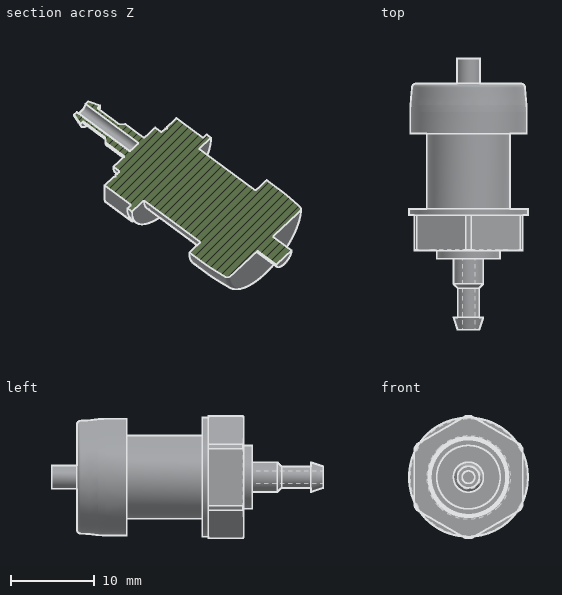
import cadquery as cq
import math


sleeve_dia = 10.0
sleeve_length = 9.0
cap_dia = 14.0
cap_shoulder_length = 3.0
cap_taper_angle = 5.0
cap_blend_radius = 10.0
cap_length = 6.0
cap_edge_radius = 0.5
pin_dia = 2.8
pin_length = 3.0

washer_dia = 14.3
washer_thickness = 0.75
nut_height = 5.0
nut_sides = 6
nut_across_flats = 13.0
nut_corner_dia = 14.665
nut_chamfer_dia = 14.26
nut_chamfer_angle = 30.0
ring_groove_dia = 9.3
ring_groove_depth = 0.15

boss_dia = 7.6
boss_height = 1.0
stem_length = 14.5
shank_dia = 3.6
shank_end = 9.0
neck_dia = 2.6
barb_dia = 3.6
barb_length = 1.5
barb_tip_dia = 2.6
bore_dia = 1.5

cap_start = sleeve_length
cap_shoulder = cap_start + cap_shoulder_length
cap_end = cap_start + cap_length
taper = math.radians(cap_taper_angle)
cap_end_radius = cap_dia / 2 - (cap_end - cap_shoulder) * math.tan(taper)
blend_reach = cap_blend_radius * math.tan(taper / 2)
pin_end = cap_end + pin_length
boss_end = nut_height + boss_height
neck_start = shank_end + (shank_dia - neck_dia) / 2
barb_start = stem_length - barb_length
bore_depth = stem_length - boss_end


def revolve_about_y(half_profile):
    """Turn a closed (radius, y) polyline about the Y axis."""
    return cq.Workplane("XY").polyline(half_profile).close().revolve(360, (0, 0, 0), (0, 1, 0))


def cylinder_along_y(diameter, y_start, y_end):
    """Round bar on the Y axis between two Y positions."""
    start_plane = cq.Workplane("XZ", origin=(0, y_start, 0))
    return start_plane.circle(diameter / 2).extrude(y_start - y_end)


def make_sleeve_and_cap():
    """Sleeve, a cap whose straight side blends into a taper, and the end pin."""
    sleeve = cylinder_along_y(sleeve_dia, 0, cap_start)
    blend_end = (
        cap_dia / 2 - blend_reach * math.sin(taper),
        cap_shoulder + blend_reach * math.cos(taper),
    )
    cap = (
        cq.Workplane("XY")
        .moveTo(0, cap_start)
        .lineTo(cap_dia / 2, cap_start)
        .lineTo(cap_dia / 2, cap_shoulder - blend_reach)
        .tangentArcPoint(blend_end, relative=False)
        .lineTo(cap_end_radius, cap_end)
        .lineTo(0, cap_end)
        .close()
        .revolve(360, (0, 0, 0), (0, 1, 0))
    )
    cap = cap.faces(">Y").edges().fillet(cap_edge_radius)
    pin = cylinder_along_y(pin_dia, cap_end, pin_end)
    return sleeve.union(cap).union(pin)


def make_nut():
    """Hexagon with turned corners, end-chamfered corners and a washer at its base."""
    half_side_angle = 180 / nut_sides
    corner_span = nut_across_flats / math.cos(math.radians(half_side_angle))
    hexagon = (
        cq.Workplane("XZ")
        .polygon(nut_sides, corner_span)
        .extrude(nut_height)
        .rotate((0, 0, 0), (0, 1, 0), half_side_angle)
    )
    chamfer_height = (nut_corner_dia - nut_chamfer_dia) / 2 * math.tan(math.radians(nut_chamfer_angle))
    corner_envelope = revolve_about_y([
        (0, -washer_thickness),
        (nut_corner_dia / 2, -washer_thickness),
        (nut_corner_dia / 2, chamfer_height - nut_height),
        (nut_chamfer_dia / 2, -nut_height),
        (0, -nut_height),
    ])
    washer = cylinder_along_y(washer_dia, -washer_thickness, 0)
    return hexagon.intersect(corner_envelope).union(washer)


def make_ring_groove():
    """45 degree V groove around the boss in the nut's end face."""
    middle = ring_groove_dia / 2
    return revolve_about_y([
        (middle - ring_groove_depth, -nut_height),
        (middle + ring_groove_depth, -nut_height),
        (middle, ring_groove_depth - nut_height),
    ])


def make_boss_and_barb():
    """Boss on the nut face, then the shank, neck and tapered barb of the stem."""
    return revolve_about_y([
        (0, -nut_height),
        (boss_dia / 2, -nut_height),
        (boss_dia / 2, -boss_end),
        (shank_dia / 2, -boss_end),
        (shank_dia / 2, -shank_end),
        (neck_dia / 2, -neck_start),
        (neck_dia / 2, -barb_start),
        (barb_dia / 2, -barb_start),
        (barb_tip_dia / 2, -stem_length),
        (0, -stem_length),
    ])


def make_bore():
    """Blind bore from the barb tip to the depth of the boss face."""
    return cylinder_along_y(bore_dia, -stem_length, bore_depth - stem_length)


nut = make_nut().cut(make_ring_groove())
result = nut.union(make_sleeve_and_cap()).union(make_boss_and_barb()).cut(make_bore())